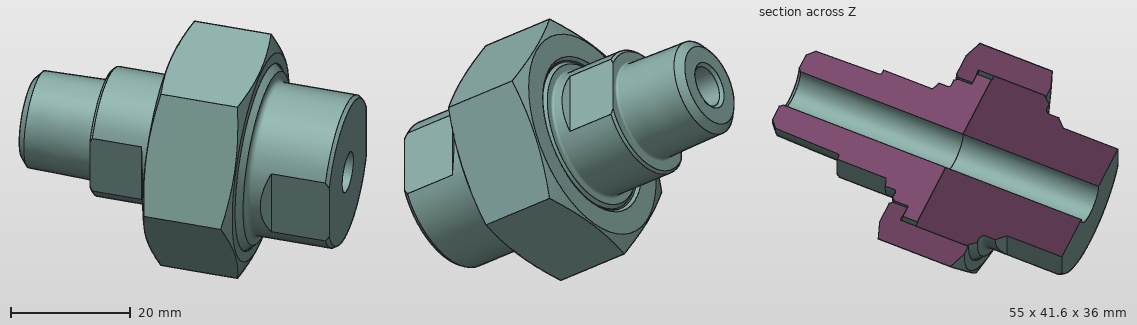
import cadquery as cq
import math


total_length = 55.0
collar_start = 13.0
nut_start = 24.4
nut_end = 39.95
lip_end = 27.5
joint = 30.25
rim_end = 41.0

bore_radius = 7.0 / 2
bore_chamfer = 0.55

tip_radius = 6.9
taper_start = 1.2
taper_start_radius = 8.25
taper_end_radius = 8.5
taper_root_fillet = 0.35
collar_radius = 22.0 / 2
collar_chamfer = 0.45
collar_root_fillet = 0.4
shoulder_start = 24.5
shoulder_radius = 26.0 / 2
shoulder_chamfer = 0.55
flange_radius = 30.35 / 2
tail_flat_width = 19.05
tail_flat_end = 21.95
tail_flat_runout = 0.55

nut_across_flats = 36.0
nut_face_radius = 17.7
nut_chamfer_angle = 20.0
lip_bore_radius = 26.5 / 2
lip_chamfer = 0.5
nut_thread_radius = 31.85 / 2

rim_end_radius = 29.5 / 2
rim_chamfer_length = 1.4
body_radius = 26.0 / 2
body_root_fillet = 0.8
body_end_chamfer_length = 0.65
body_end_chamfer_height = 0.45
body_flat_width = 23.0
body_flat_start = 45.0


def revolve_about_x(profile):
    """Revolve a closed (x, radius) outline around the X axis."""
    return profile.close().revolve(360, (0, 0, 0), (1, 0, 0))


def concave_fillet(profile, corner_x, corner_radius, size, rising):
    """Add a quarter-round internal corner between a cylinder and an end face."""
    on_cylinder = (corner_x - size if rising else corner_x + size, corner_radius)
    on_face = (corner_x, corner_radius + size)
    center = (on_cylinder[0], on_face[1])
    side = 1 if rising else -1
    middle = (
        center[0] + side * size * math.sqrt(0.5),
        center[1] - size * math.sqrt(0.5),
    )
    first, last = (on_cylinder, on_face) if rising else (on_face, on_cylinder)
    return profile.lineTo(*first).threePointArc(middle, last)


def flat_cutters(width, deep_end, open_end, runout, cut_radius):
    """Two mirrored prisms that cut wrench flats at +Y and -Y, sloping out at deep_end."""
    half_width = width / 2
    direction = math.copysign(1, deep_end - open_end)
    cutter = (
        cq.Workplane("XY")
        .moveTo(open_end, half_width)
        .lineTo(deep_end, half_width)
        .lineTo(deep_end + direction * runout, cut_radius)
        .lineTo(open_end, cut_radius)
        .close()
        .extrude(cut_radius, both=True)
    )
    return cutter, cutter.mirror("XZ")


def make_tailpiece():
    profile = (
        cq.Workplane("XY")
        .moveTo(0, bore_radius + bore_chamfer)
        .lineTo(0, tip_radius)
        .lineTo(taper_start, taper_start_radius)
    )
    profile = concave_fillet(profile, collar_start, taper_end_radius, taper_root_fillet, True)
    profile = (
        profile.lineTo(collar_start, collar_radius - collar_chamfer)
        .lineTo(collar_start + collar_chamfer, collar_radius)
    )
    profile = concave_fillet(profile, shoulder_start, collar_radius, collar_root_fillet, True)
    profile = (
        profile.lineTo(shoulder_start, shoulder_radius - shoulder_chamfer)
        .lineTo(shoulder_start + shoulder_chamfer, shoulder_radius)
        .lineTo(lip_end, shoulder_radius)
        .lineTo(lip_end, flange_radius)
        .lineTo(joint, flange_radius)
        .lineTo(joint, bore_radius)
        .lineTo(bore_chamfer, bore_radius)
    )
    tailpiece = revolve_about_x(profile)
    for cutter in flat_cutters(
        tail_flat_width, tail_flat_end, collar_start, tail_flat_runout, collar_radius
    ):
        tailpiece = tailpiece.cut(cutter)
    return tailpiece.solids()


def make_nut():
    corner_radius = nut_across_flats / math.sqrt(3)
    chamfer_length = (corner_radius - nut_face_radius) * math.tan(math.radians(nut_chamfer_angle))
    prism = (
        cq.Workplane("YZ", origin=(nut_start, 0, 0))
        .polygon(6, 2 * corner_radius)
        .extrude(nut_end - nut_start)
    )
    envelope = revolve_about_x(
        cq.Workplane("XY")
        .moveTo(nut_start, lip_bore_radius + lip_chamfer)
        .lineTo(nut_start, nut_face_radius)
        .lineTo(nut_start + chamfer_length, corner_radius)
        .lineTo(nut_end - chamfer_length, corner_radius)
        .lineTo(nut_end, nut_face_radius)
        .lineTo(nut_end, nut_thread_radius)
        .lineTo(lip_end, nut_thread_radius)
        .lineTo(lip_end, lip_bore_radius)
        .lineTo(nut_start + lip_chamfer, lip_bore_radius)
    )
    return prism.intersect(envelope).solids()


def make_body():
    profile = (
        cq.Workplane("XY")
        .moveTo(joint, bore_radius)
        .lineTo(joint, nut_thread_radius)
        .lineTo(rim_end - rim_chamfer_length, nut_thread_radius)
        .lineTo(rim_end, rim_end_radius)
    )
    profile = concave_fillet(profile, rim_end, body_radius, body_root_fillet, False)
    profile = (
        profile.lineTo(total_length - body_end_chamfer_length, body_radius)
        .lineTo(total_length, body_radius - body_end_chamfer_height)
        .lineTo(total_length, bore_radius)
    )
    body = revolve_about_x(profile)
    flat_runout = body_radius - body_flat_width / 2
    for cutter in flat_cutters(
        body_flat_width, body_flat_start, total_length, flat_runout, body_radius
    ):
        body = body.cut(cutter)
    return body.solids()


tailpiece = make_tailpiece()
nut = make_nut()
body = make_body()

result = cq.Compound.makeCompound([tailpiece.val(), nut.val(), body.val()])